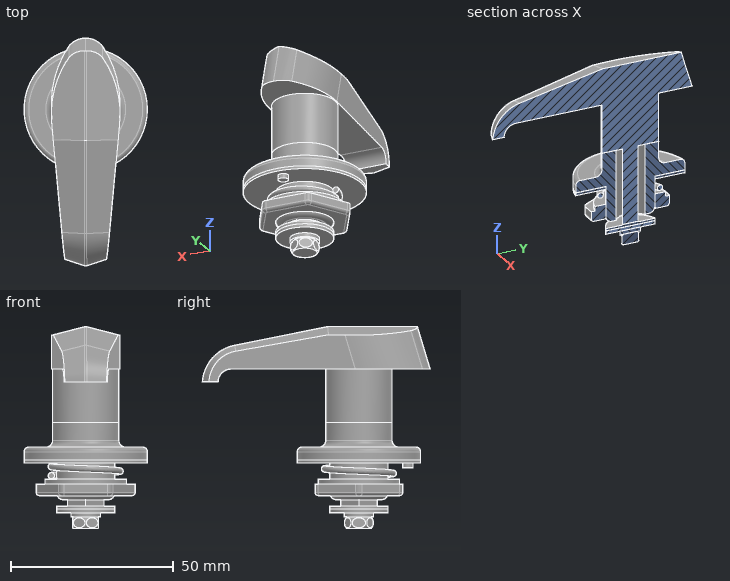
import cadquery as cq
import math


FLANGE_R = 19.0
FLANGE_TOP = 4.05
FLANGE_ROUND = 1.5
NECK_R = 10.2
NECK_TOP = 11.55
NECK_FILLET = 2.0
TUBE_R = 9.0
TUBE_BOTTOM = -12.2
TUBE_END_ROUND = 2.1
NUB_R = 1.6
NUB_Y = 15.05
NUB_BOTTOM = -2.4

GASKET_T = 0.9

WIRE_R = 1.0
COIL_R = 10.6
COIL_TOP = -1.95
COIL_PITCH = 2.8

COLLAR_R = 12.55
COLLAR_TOP = -5.8
HEX_TOP = -7.35
HEX_BOTTOM = -10.9
NUT_FLATS = 27.0
NUT_CORNER_R = 1.95
NUT_BOTTOM_R = 1.05

WASHER_R = 9.0
UPPER_WASHER_TOP = -14.1
UPPER_WASHER_T = 1.0
LOWER_WASHER_T = 1.1
LOCK_WASHER_R = 4.55
LOCK_WASHER_T = 1.25
SHANK_R = 2.5
SHANK_REACH = 9.8
HEAD_FLATS = 8.0
HEAD_BARREL_R = 4.5
HEAD_END_R = 3.8
BOLT_BOTTOM = -21.0

SPINDLE_SIDE = 8.0
UNDERSIDE = 27.95
RIDGE_TOP = 41.1
RIDGE_BEND_Y = -9.6
HOOK_Y = -38.2
HOOK_Z = 35.4
TIP_Y = -48.2
TIP_INNER_Y = -43.2
TIP_Z = 24.0
ROOF_ANGLE = 14.5
TIP_ROOF_SLOPE = 0.33
RIDGE_ROUND = 1.2

SIDE_TAPER = 5.0
SIDE_START = (10.45, -1.1)
SHOULDER = (5.1, 19.55)
BACK_Y = 21.9
LEAN = 0.3

MARGIN = 1.4

spindle_bore_r = SPINDLE_SIDE / math.sqrt(2)
shank_top = UPPER_WASHER_TOP + SHANK_REACH
lower_washer_top = UPPER_WASHER_TOP - UPPER_WASHER_T
lock_washer_top = lower_washer_top - LOWER_WASHER_T
head_top = lock_washer_top - LOCK_WASHER_T


def cylinder(radius, bottom, top):
    return cq.Workplane("XY").workplane(offset=bottom).circle(radius).extrude(top - bottom)


def hexagon(flats, bottom, top):
    """Hexagonal prism with two of its flats facing +X and -X."""
    plane = cq.Workplane("XY").workplane(offset=bottom)
    return plane.polygon(6, flats, circumscribed=True).extrude(top - bottom)


def roof_section(x):
    """Closed side profile of the handle at this X: the top falls away from the ridge."""
    fall = abs(x) * math.tan(math.radians(ROOF_ANGLE))
    slope = math.atan2(RIDGE_TOP - HOOK_Z, RIDGE_BEND_Y - HOOK_Y)
    bend = (RIDGE_BEND_Y + fall * math.tan(slope / 2), RIDGE_TOP - fall)
    hook = (HOOK_Y + fall * math.sin(slope), HOOK_Z - fall * math.cos(slope))
    tip = (TIP_Y + abs(x) * TIP_ROOF_SLOPE, TIP_Z)

    inner_r = UNDERSIDE - TIP_Z
    inner_end_y = TIP_INNER_Y + inner_r
    diagonal = inner_r * math.sqrt(0.5)
    back = BACK_Y + MARGIN
    return (
        cq.Workplane("YZ")
        .workplane(offset=x)
        .moveTo(back, UNDERSIDE)
        .lineTo(back, RIDGE_TOP - fall)
        .lineTo(*bend)
        .lineTo(*hook)
        .tangentArcPoint(tip, relative=False)
        .lineTo(TIP_INNER_Y, TIP_Z)
        .threePointArc((inner_end_y - diagonal, TIP_Z + diagonal), (inner_end_y, UNDERSIDE))
        .close()
        .val()
    )


def make_roof():
    """Handle profile with a ridged top, wider than the handle."""
    half_width = SIDE_START[0] + MARGIN
    left, right = [
        cq.Workplane(cq.Solid.makeLoft([roof_section(0), roof_section(x)], True))
        for x in (-half_width, half_width)
    ]
    near_ridge = 0.1
    ridge = cq.selectors.BoxSelector(
        (-near_ridge, TIP_Y + MARGIN, TIP_Z + MARGIN),
        (near_ridge, BACK_Y, RIDGE_TOP + MARGIN),
    )
    return left.union(right).edges(ridge).fillet(RIDGE_ROUND)


def make_plan_prism():
    """Plan outline of the handle, extruded upwards along the lean of the walls."""
    front_y = TIP_Y - 2 * MARGIN
    front_x = SIDE_START[0] - (SIDE_START[1] - front_y) * math.tan(math.radians(SIDE_TAPER))

    rise = BACK_Y - SHOULDER[1]
    back_r = (SHOULDER[0] ** 2 + rise ** 2) / (2 * rise)
    half_angle = math.asin(SHOULDER[0] / back_r) / 2
    back_mid = (
        back_r * math.sin(half_angle),
        BACK_Y - back_r + back_r * math.cos(half_angle),
    )
    outline = (
        cq.Workplane("XY")
        .moveTo(0, front_y)
        .lineTo(front_x, front_y)
        .lineTo(*SIDE_START)
        .tangentArcPoint(SHOULDER, relative=False)
        .threePointArc(back_mid, (0, BACK_Y))
        .mirrorY()
        .val()
    )
    drop = UNDERSIDE - TIP_Z
    height = RIDGE_TOP - TIP_Z + MARGIN
    start = outline.translate(cq.Vector(0, LEAN * drop, TIP_Z))
    return cq.Workplane(cq.Solid.extrudeLinear(start, [], cq.Vector(0, -LEAN * height, height)))


def make_handle():
    """Grip, round stem and square spindle with a hole for the bolt."""
    grip = make_roof().intersect(make_plan_prism())
    stem = cylinder(NECK_R, NECK_TOP, UNDERSIDE)
    spindle = (
        cq.Workplane("XY")
        .workplane(offset=UPPER_WASHER_TOP)
        .rect(SPINDLE_SIDE, SPINDLE_SIDE)
        .extrude(NECK_TOP - UPPER_WASHER_TOP)
        .rotate((0, 0, 0), (0, 0, 1), 45)
    )
    bolt_hole = cylinder(SHANK_R, UPPER_WASHER_TOP, shank_top)
    return grip.union(stem).union(spindle).cut(bolt_hole)


def make_housing():
    flange = cylinder(FLANGE_R, 0, FLANGE_TOP)
    body = flange.union(cylinder(NECK_R, FLANGE_TOP, NECK_TOP))
    body = body.edges(cq.selectors.RadiusNthSelector(0)).edges("<Z").fillet(NECK_FILLET)
    body = body.edges(cq.selectors.RadiusNthSelector(-1)).edges(">Z").fillet(FLANGE_ROUND)
    tube = cylinder(TUBE_R, TUBE_BOTTOM, 0).faces("<Z").edges().fillet(TUBE_END_ROUND)
    nub = cylinder(NUB_R, NUB_BOTTOM, 0).translate((0, NUB_Y, 0))
    bore = cylinder(spindle_bore_r, TUBE_BOTTOM, NECK_TOP)
    return body.union(tube).union(nub).cut(bore)


def make_gasket():
    tube_hole = cylinder(TUBE_R, -GASKET_T, 0)
    nub_hole = cylinder(NUB_R, -GASKET_T, 0).translate((0, NUB_Y, 0))
    return cylinder(FLANGE_R, -GASKET_T, 0).cut(tube_hole).cut(nub_hole)


def make_spring():
    """One left-hand turn of round wire that starts and ends on the -X side."""
    helix = cq.Wire.makeHelix(COIL_PITCH, COIL_PITCH, COIL_R, lefthand=True)
    wire = cq.Workplane("XZ").center(COIL_R, 0).circle(WIRE_R)
    coil = wire.sweep(cq.Workplane(helix), isFrenet=True)
    return coil.rotate((0, 0, 0), (0, 0, 1), 180).translate((0, 0, COIL_TOP - COIL_PITCH))


def make_nut():
    """Nut with flats facing +Y and -Y, rounded corners and a rounded lower edge."""
    body = hexagon(NUT_FLATS, HEX_BOTTOM, HEX_TOP).rotate((0, 0, 0), (0, 0, 1), 90)
    body = body.edges("|Z").fillet(NUT_CORNER_R)
    body = body.faces("<Z").edges().fillet(NUT_BOTTOM_R)
    collar = cylinder(COLLAR_R, HEX_TOP, COLLAR_TOP)
    return body.union(collar).cut(cylinder(TUBE_R, HEX_BOTTOM, COLLAR_TOP))


def make_washer(radius, top, thickness):
    bottom = top - thickness
    return cylinder(radius, bottom, top).cut(cylinder(SHANK_R, bottom, top))


def make_bolt():
    """Bolt whose hexagon head is rounded by a barrel-shaped surface."""
    head = hexagon(HEAD_FLATS, BOLT_BOTTOM, head_top)
    barrel = (
        cq.Workplane("XZ")
        .moveTo(0, BOLT_BOTTOM)
        .lineTo(HEAD_END_R, BOLT_BOTTOM)
        .threePointArc((HEAD_BARREL_R, (BOLT_BOTTOM + head_top) / 2), (HEAD_END_R, head_top))
        .lineTo(0, head_top)
        .close()
        .revolve(360, (0, 0, 0), (0, 1, 0))
    )
    shank = cylinder(SHANK_R, head_top, shank_top)
    return head.intersect(barrel).union(shank)


handle = make_handle()
housing = make_housing()
gasket = make_gasket()
spring = make_spring()
nut = make_nut()
upper_washer = make_washer(WASHER_R, UPPER_WASHER_TOP, UPPER_WASHER_T)
lower_washer = make_washer(WASHER_R, lower_washer_top, LOWER_WASHER_T)
lock_washer = make_washer(LOCK_WASHER_R, lock_washer_top, LOCK_WASHER_T)
bolt = make_bolt()

result = cq.Compound.makeCompound([
    handle.val(),
    housing.val(),
    gasket.val(),
    spring.val(),
    nut.val(),
    upper_washer.val(),
    lower_washer.val(),
    lock_washer.val(),
    bolt.val(),
])